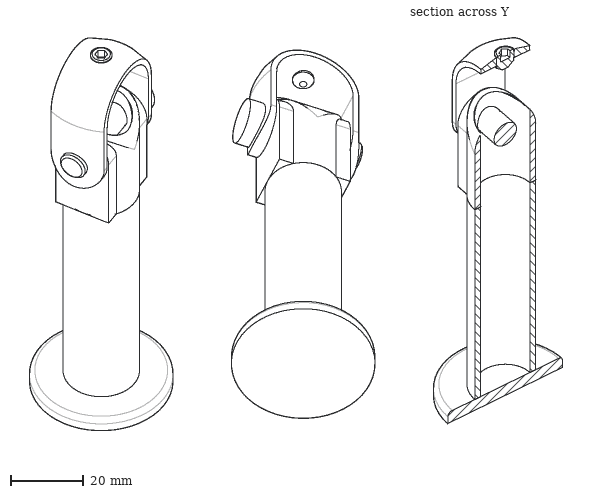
import cadquery as cq
import math

total_height = 126.0

flange_diameter = 40.0
flange_height = 4.2
flange_rounding = 1.5

tube_diameter = 21.3
tube_radius = tube_diameter / 2
bore_diameter = 17.0
head_base_z = 73.8
head_crown_z = 94.4
head_cheek_z = 96.3

pin_z = 96.0
pin_diameter = 8.0
pin_tip_chamfer = 0.6
pin_tip_overhang = 1.5
pin_head_diameter = 13.0
pin_head_seat_y = 13.2
pin_head_end_y = 18.5

strap_width = 17.0
strap_half_width = strap_width / 2
shackle_outer_radius = 15.0
shackle_inner_radius = 11.5
strap_edge_radius = 13.2
bend_z = total_height - shackle_outer_radius

saddle_diameter = 20.2

screw_diameter = 6.0
screw_top_chamfer = 0.5
screw_shoulder_z = 121.7
screw_tip_z = 120.1
screw_tip_diameter = 2.0
socket_across_flats = 3.0
socket_depth = 2.5


def cylinder_along_y(diameter, y_start, y_end, z):
    """Cylinder about a line parallel to Y at the given height."""
    return (
        cq.Workplane("XZ", origin=(0, y_start, z))
        .circle(diameter / 2)
        .extrude(y_start - y_end)
    )


def make_flange():
    return (
        cq.Workplane("XY")
        .circle(flange_diameter / 2)
        .extrude(flange_height)
        .faces(">Z").edges().fillet(flange_rounding)
    )


def make_tube():
    return (
        cq.Workplane("XY", origin=(0, 0, flange_height))
        .circle(tube_radius)
        .circle(bore_diameter / 2)
        .extrude(head_base_z - flange_height)
    )


def round_topped_block(width, axis_z):
    """Block on the head base whose top is a half cylinder about a Y axis."""
    block = (
        cq.Workplane("XY", origin=(0, 0, head_base_z))
        .rect(width, tube_diameter)
        .extrude(axis_z - head_base_z)
    )
    return block.union(cylinder_along_y(width, -tube_radius, tube_radius, axis_z))


def make_head():
    barrel = (
        cq.Workplane("XY", origin=(0, 0, head_base_z))
        .circle(tube_radius)
        .extrude(total_height - head_base_z)
        .intersect(round_topped_block(tube_diameter, head_crown_z))
    )
    bore = (
        cq.Workplane("XY", origin=(0, 0, head_base_z))
        .circle(bore_diameter / 2)
        .extrude(total_height - head_base_z)
    )
    pin_hole = cylinder_along_y(pin_diameter, -tube_radius, tube_radius, pin_z)
    saddle = (
        cq.Workplane("YZ", origin=(-tube_radius, 0, bend_z))
        .circle(saddle_diameter / 2)
        .extrude(tube_diameter)
    )
    solid_head = barrel.union(round_topped_block(strap_width, head_cheek_z))
    return solid_head.cut(bore).cut(pin_hole).cut(saddle)


def strap_section():
    """Cross-section of the strap, flat inside and crowned outside, at the +Y leg."""
    return (
        cq.Workplane("XY", origin=(0, 0, bend_z))
        .moveTo(-strap_half_width, shackle_inner_radius)
        .lineTo(-strap_half_width, strap_edge_radius)
        .threePointArc((0, shackle_outer_radius), (strap_half_width, strap_edge_radius))
        .lineTo(strap_half_width, shackle_inner_radius)
        .close()
    )


def make_shackle():
    leg_end_z = pin_z - strap_half_width
    leg = strap_section().extrude(leg_end_z - bend_z)
    bend = strap_section().revolve(180, (0, 0, 0), (1, 0, 0))
    strap = bend.union(leg).union(leg.mirror("XZ"))

    leg_outline = (
        cq.Workplane("XZ", origin=(0, shackle_outer_radius, 0))
        .moveTo(-strap_half_width, total_height)
        .lineTo(-strap_half_width, pin_z)
        .threePointArc((0, leg_end_z), (strap_half_width, pin_z))
        .lineTo(strap_half_width, total_height)
        .close()
        .extrude(2 * shackle_outer_radius)
    )
    pin_hole = cylinder_along_y(
        pin_diameter, -shackle_outer_radius, shackle_outer_radius, pin_z
    )
    screw_hole = (
        cq.Workplane("XY", origin=(0, 0, bend_z))
        .circle(screw_diameter / 2)
        .extrude(shackle_outer_radius)
    )
    head_seat = cylinder_along_y(
        pin_head_diameter, pin_head_seat_y, pin_head_end_y, pin_z
    )
    return strap.intersect(leg_outline).cut(pin_hole).cut(screw_hole).cut(head_seat)


def make_pin():
    tip_y = -shackle_outer_radius - pin_tip_overhang
    shank = (
        cylinder_along_y(pin_diameter, tip_y, pin_head_seat_y, pin_z)
        .faces("<Y").chamfer(pin_tip_chamfer)
    )
    return shank.union(
        cylinder_along_y(pin_head_diameter, pin_head_seat_y, pin_head_end_y, pin_z)
    )


def make_screw():
    radius = screw_diameter / 2
    body = (
        cq.Workplane("XZ")
        .moveTo(0, screw_tip_z)
        .lineTo(screw_tip_diameter / 2, screw_tip_z)
        .lineTo(radius, screw_shoulder_z)
        .lineTo(radius, total_height - screw_top_chamfer)
        .lineTo(radius - screw_top_chamfer, total_height)
        .lineTo(0, total_height)
        .close()
        .revolve(360, (0, 0, 0), (0, 1, 0))
    )
    socket_across_corners = socket_across_flats / math.cos(math.pi / 6)
    socket = (
        cq.Workplane("XY", origin=(0, 0, total_height))
        .transformed(rotate=(0, 0, 30))
        .polygon(6, socket_across_corners)
        .extrude(-socket_depth)
    )
    return body.cut(socket)


flange = make_flange()
tube = make_tube()
head = make_head()
shackle = make_shackle()
pin = make_pin()
screw = make_screw()

result = cq.Compound.makeCompound(
    [flange.val(), tube.val(), head.val(), shackle.val(), pin.val(), screw.val()]
)